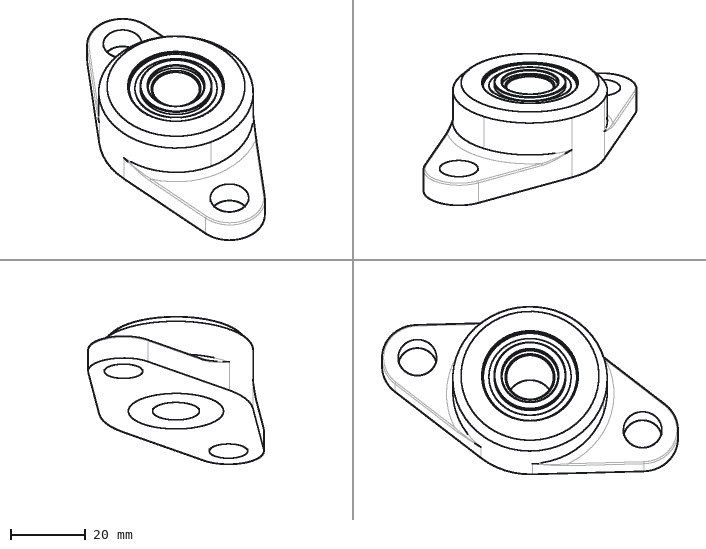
import cadquery as cq
import math

overall_length = 82.55
ear_radius = 9.5
ear_offset = overall_length / 2 - ear_radius
mount_hole_radius = 5.1
plate_height = 6.4
plate_edge_fillet = 0.4

boss_radius = 20.6
boss_height = 19.8
boss_chamfer = 2.2
boss_foot_fillet = 1.7
seat_edge_chamfer = 0.2

bearing_radius = 12.7
bearing_face_height = 19.0
bead_radius = 0.75
bead_center_radius = 11.7
collar_outer_radius = 9.6
collar_inner_radius = 7.5
collar_top = 20.1
collar_edge_chamfer = 0.2
bore_radius = 6.3
bore_edge_chamfer = 0.3


def plate_outline():
    """Diamond flange outline: boss and ear arcs joined by their common tangents."""
    normal_x = (boss_radius - ear_radius) / ear_offset
    normal_y = math.sqrt(1 - normal_x**2)
    boss_x = boss_radius * normal_x
    boss_y = boss_radius * normal_y
    ear_x = ear_offset + ear_radius * normal_x
    ear_y = ear_radius * normal_y
    end_x = overall_length / 2
    return (
        cq.Workplane("XY")
        .moveTo(-boss_x, boss_y)
        .threePointArc((0, boss_radius), (boss_x, boss_y))
        .lineTo(ear_x, ear_y)
        .threePointArc((end_x, 0), (ear_x, -ear_y))
        .lineTo(boss_x, -boss_y)
        .threePointArc((0, -boss_radius), (-boss_x, -boss_y))
        .lineTo(-ear_x, -ear_y)
        .threePointArc((-end_x, 0), (-ear_x, ear_y))
        .close()
    )


def space_around_boss():
    """Revolved space above the plate, leaving the boss with its chamfer and foot fillet."""
    foot_radius = boss_radius + boss_foot_fillet
    fillet_top = plate_height + boss_foot_fillet
    arc_reach = boss_foot_fillet * math.sqrt(0.5)
    return (
        cq.Workplane("XZ")
        .moveTo(overall_length, plate_height)
        .lineTo(foot_radius, plate_height)
        .threePointArc(
            (foot_radius - arc_reach, fillet_top - arc_reach),
            (boss_radius, fillet_top),
        )
        .lineTo(boss_radius, boss_height - boss_chamfer)
        .lineTo(boss_radius - boss_chamfer, boss_height)
        .lineTo(overall_length, boss_height)
        .close()
        .revolve(360, (0, 0, 0), (0, 1, 0))
    )


def is_plate_side_edge(edge):
    """True for the four straight top edges of the plate."""
    return edge.geomType() == "LINE" and math.isclose(edge.Center().z, plate_height)


def make_housing():
    """Flange plate and boss with mounting holes and a chamfered bearing seat."""
    body = plate_outline().extrude(boss_height).cut(space_around_boss())
    body = body.edges().filter(is_plate_side_edge).fillet(plate_edge_fillet)
    mount_holes = (
        cq.Workplane("XY")
        .pushPoints([(-ear_offset, 0), (ear_offset, 0)])
        .circle(mount_hole_radius)
        .extrude(plate_height)
    )
    seat = cq.Workplane("XY").circle(bearing_radius).extrude(boss_height)
    housing = body.cut(mount_holes).cut(seat)
    seat_rim = housing.faces(">Z").edges(cq.selectors.RadiusNthSelector(0))
    return seat_rim.chamfer(seat_edge_chamfer)


def make_bearing():
    """Bearing insert revolved in one piece, with a rounded rim bead and a raised collar."""
    return (
        cq.Workplane("XZ")
        .moveTo(bore_radius, 0)
        .lineTo(bearing_radius, 0)
        .lineTo(bearing_radius, bearing_face_height)
        .lineTo(bead_center_radius + bead_radius, bearing_face_height)
        .threePointArc(
            (bead_center_radius, bearing_face_height + bead_radius),
            (bead_center_radius - bead_radius, bearing_face_height),
        )
        .lineTo(collar_outer_radius, bearing_face_height)
        .lineTo(collar_outer_radius, collar_top - collar_edge_chamfer)
        .lineTo(collar_outer_radius - collar_edge_chamfer, collar_top)
        .lineTo(collar_inner_radius + collar_edge_chamfer, collar_top)
        .lineTo(collar_inner_radius, collar_top - collar_edge_chamfer)
        .lineTo(collar_inner_radius, bearing_face_height)
        .lineTo(bore_radius + bore_edge_chamfer, bearing_face_height)
        .lineTo(bore_radius, bearing_face_height - bore_edge_chamfer)
        .close()
        .revolve(360, (0, 0, 0), (0, 1, 0))
    )


housing = make_housing()
bearing = make_bearing()

result = cq.Compound.makeCompound([housing.val(), bearing.val()])